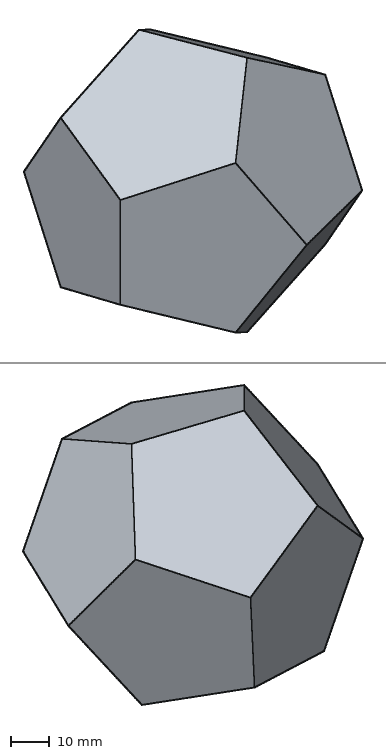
import cadquery as cq
import math


cube_edge = 50.8

golden_ratio = (1 + math.sqrt(5)) / 2
half_cube = cube_edge / 2
face_sides = 5
face_edge = cube_edge / golden_ratio
face_circumradius = face_edge / (2 * math.sin(math.pi / face_sides))
face_distance = half_cube * golden_ratio**2 / math.hypot(1, golden_ratio)


def rotate_axes(vector, steps):
    """Move the components of a vector cyclically, X to Y to Z, by a number of steps."""
    components = vector.toTuple()
    return cq.Vector(*(components[(axis - steps) % 3] for axis in range(3)))


def pentagon_face(normal, toward_vertex):
    """Regular pentagon square to normal, with one corner in the direction toward_vertex."""
    plane = cq.Plane(origin=normal.normalized() * face_distance, xDir=toward_vertex, normal=normal)
    outline = cq.Workplane(plane).polygon(face_sides, 2 * face_circumradius).wires().val()
    return cq.Face.makeFromWires(outline)


def dodecahedron():
    """Solid bounded by twelve pentagons: four in each of the three axis orders."""
    faces = []
    for steps in range(3):
        for y_sign in (1, -1):
            for z_sign in (1, -1):
                normal = cq.Vector(0, y_sign, z_sign * golden_ratio)
                toward_vertex = cq.Vector(0, y_sign * golden_ratio, -z_sign)
                faces.append(pentagon_face(rotate_axes(normal, steps), rotate_axes(toward_vertex, steps)))
    return cq.Solid.makeSolid(cq.Shell.makeShell(faces))


result = cq.Workplane("XY").newObject([dodecahedron()])